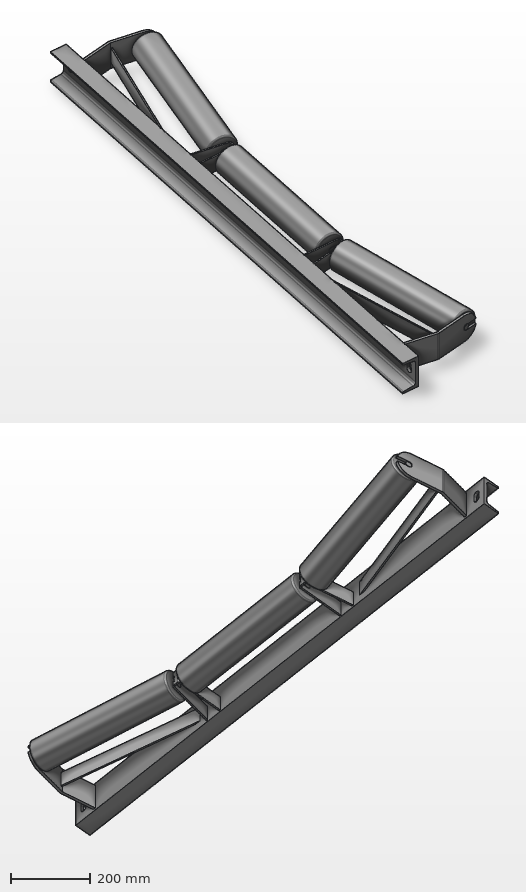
import cadquery as cq
import math

beam_length = 1500.0
beam_height = 100.0
beam_depth = 50.0
web_thickness = 9.0
flange_tip_thickness = 6.0
flange_root_thickness = 10.0
root_radius = 9.0
toe_radius = 3.0
slot_width = 18.0
slot_length = 36.0
slot_end_distance = 28.0

trough_angle = 10.0
roller_diameter = 88.0
roller_length = 429.0
roller_edge_radius = 5.0
shaft_diameter = 18.0

center_roller_y = 115.0
center_roller_z = -20.0
outer_support = cq.Vector(681.0, 198.0, 0)
inner_support_x = 246.0

outer_plate_thickness = 8.0
outer_plate_bend_y = 98.0
outer_plate_arc_y = 190.0
outer_plate_bend_radius = 15.0
outer_plate_width = 85.0

inner_plate_thickness = 5.0
inner_plate_top_y = 142.0
inner_plate_inside_x = 219.0
inner_plate_corner_radius = 6.0

brace_thickness = 5.0
flat_bar_width = 50.0
brace_foot_x = 292.0
brace_top_y = 105.0

lean = math.tan(math.radians(trough_angle))
lean_cosine = math.cos(math.radians(trough_angle))
roller_radius = roller_diameter / 2
shaft_radius = shaft_diameter / 2
inner_support = cq.Vector(
    inner_support_x,
    outer_support.y - (outer_support.x - inner_support_x) * lean,
    center_roller_z,
)
side_axis = outer_support - inner_support
outer_bend_x = outer_support.x + (outer_support.y - outer_plate_bend_y) * lean
outer_foot_x = outer_bend_x - outer_plate_bend_y * lean
inner_outside_top_x = inner_support_x + inner_plate_thickness / (2 * lean_cosine) - (
    inner_plate_top_y - inner_support.y
) * lean
inner_outside_foot_x = inner_outside_top_x + inner_plate_top_y * lean


def mirrored(body):
    """The matching body on the -X side."""
    return body.mirror("YZ")


def axis_plane(origin, direction):
    """Plane square to a roller axis, with its local Y as near as possible to global Y."""
    return cq.Plane(origin=origin, xDir=cq.Vector(0, 1, 0).cross(direction), normal=direction)


def lengthwise_edges(body, edge_y, edge_z):
    """The two edges along X at one Y and at plus and minus one Z."""
    margin = toe_radius / 10
    box = cq.selectors.BoxSelector(
        (-beam_length, edge_y - margin, -edge_z - margin),
        (beam_length, edge_y + margin, edge_z + margin),
    )
    return body.edges("|X").edges(box)


def make_beam():
    """Channel with tapered flanges, open towards -Y, and a bolt slot near each end."""
    half_height = beam_height / 2
    tip_z = half_height - flange_tip_thickness
    root_z = half_height - flange_root_thickness
    channel = (
        cq.Workplane("YZ")
        .polyline([
            (0, -half_height),
            (-beam_depth, -half_height),
            (-beam_depth, -tip_z),
            (-web_thickness, -root_z),
            (-web_thickness, root_z),
            (-beam_depth, tip_z),
            (-beam_depth, half_height),
            (0, half_height),
        ])
        .close()
        .extrude(beam_length / 2, both=True)
    )
    channel = lengthwise_edges(channel, -web_thickness, root_z).fillet(root_radius)
    channel = lengthwise_edges(channel, -beam_depth, tip_z).fillet(toe_radius)
    slot_x = beam_length / 2 - slot_end_distance
    slots = (
        cq.Workplane("XZ")
        .pushPoints([(-slot_x, 0), (slot_x, 0)])
        .slot2D(slot_length, slot_width, 90)
        .extrude(web_thickness)
    )
    return channel.cut(slots)


def bar_along(plane, radius, length):
    """Cylinder square to a plane and centred on its origin."""
    return cq.Workplane(plane).workplane(offset=-length / 2).circle(radius).extrude(length)


def make_roller(middle, direction, shaft_length):
    """Roller shell and its shaft, centred on a point of the roller axis."""
    plane = axis_plane(middle, direction)
    shell = bar_along(plane, roller_radius, roller_length)
    shell = shell.edges("%CIRCLE").fillet(roller_edge_radius)
    shaft = bar_along(plane, shaft_radius, shaft_length)
    return shell.union(shaft)


def shaft_slot(center, direction, reach, depth):
    """Round-bottomed slot for a shaft end, open away from the beam."""
    plane = axis_plane(center, direction)
    seat = bar_along(plane, shaft_radius, depth)
    mouth = (
        cq.Workplane(plane)
        .center(0, reach / 2)
        .rect(shaft_diameter, reach)
        .extrude(depth / 2, both=True)
    )
    return seat.union(mouth)


def make_outer_bracket():
    """Plate bent at mid-height, with a round tip and an open slot for the shaft."""
    half_thickness = outer_plate_thickness / 2 / lean_cosine
    half_width = outer_plate_width / 2
    tip_y = outer_plate_arc_y + half_width
    tip_x = outer_support.x - (tip_y - outer_support.y) * lean
    plate = (
        cq.Workplane("XY")
        .polyline([
            (outer_foot_x - half_thickness, 0),
            (outer_foot_x + half_thickness, 0),
            (outer_bend_x + half_thickness, outer_plate_bend_y),
            (tip_x + half_thickness, tip_y),
            (tip_x - half_thickness, tip_y),
            (outer_bend_x - half_thickness, outer_plate_bend_y),
        ])
        .close()
        .extrude(half_width, both=True)
    )
    plate = plate.edges("|Z").edges(">X").fillet(outer_plate_bend_radius)
    outline = (
        cq.Workplane("YZ")
        .moveTo(0, -half_width)
        .lineTo(outer_plate_arc_y, -half_width)
        .threePointArc((tip_y, 0), (outer_plate_arc_y, half_width))
        .lineTo(0, half_width)
        .close()
        .extrude(beam_length)
    )
    slot = shaft_slot(outer_support, side_axis, outer_plate_width, 3 * outer_plate_thickness)
    return plate.intersect(outline).cut(slot)


def make_inner_bracket():
    """Strap folded over at the top, carrying the center roller and one side roller."""
    wall = inner_plate_thickness
    slanted_wall = wall / lean_cosine
    cavity_top_y = inner_plate_top_y - wall
    cavity_top_x = inner_outside_top_x + wall * lean - slanted_wall
    strap = (
        cq.Workplane("XY")
        .polyline([
            (inner_plate_inside_x, 0),
            (inner_plate_inside_x, inner_plate_top_y),
            (inner_outside_top_x, inner_plate_top_y),
            (inner_outside_foot_x, 0),
            (inner_outside_foot_x - slanted_wall, 0),
            (cavity_top_x, cavity_top_y),
            (inner_plate_inside_x + wall, cavity_top_y),
            (inner_plate_inside_x + wall, 0),
        ])
        .close()
        .extrude(flat_bar_width / 2, both=True)
        .translate((0, 0, center_roller_z))
        .edges("|Z")
        .edges(">Y")
        .fillet(inner_plate_corner_radius)
    )
    center_seat = cq.Vector(inner_plate_inside_x + wall / 2, center_roller_y, center_roller_z)
    center_slot = shaft_slot(center_seat, cq.Vector(1, 0, 0), flat_bar_width, 2 * wall)
    side_slot = shaft_slot(inner_support, side_axis, flat_bar_width, 2 * wall)
    return strap.cut(center_slot).cut(side_slot)


def make_brace(bracket):
    """Flat bar from the beam's back face to the bend of an outer bracket."""
    rise_angle = math.atan2(brace_top_y, outer_bend_x - brace_foot_x)
    foot_spread = brace_thickness / math.sin(rise_angle)
    end_rise = brace_thickness / math.cos(rise_angle)
    bar = (
        cq.Workplane("XY")
        .polyline([
            (brace_foot_x, 0),
            (brace_foot_x + foot_spread, 0),
            (outer_bend_x, brace_top_y - end_rise),
            (outer_bend_x, brace_top_y),
        ])
        .close()
        .extrude(flat_bar_width / 2, both=True)
    )
    return bar.cut(bracket)


beam = make_beam()
center_roller = make_roller(
    cq.Vector(0, center_roller_y, center_roller_z),
    cq.Vector(1, 0, 0),
    2 * (inner_plate_inside_x + inner_plate_thickness),
)
side_roller = make_roller(
    (outer_support + inner_support) * 0.5,
    side_axis,
    side_axis.Length + inner_plate_thickness,
)
outer_bracket = make_outer_bracket()
inner_bracket = make_inner_bracket()
brace = make_brace(outer_bracket)

bodies = [beam.val(), center_roller.val()]
for body in (side_roller, outer_bracket, inner_bracket, brace):
    bodies.append(body.val())
    bodies.append(mirrored(body).val())

result = cq.Compound.makeCompound(bodies)